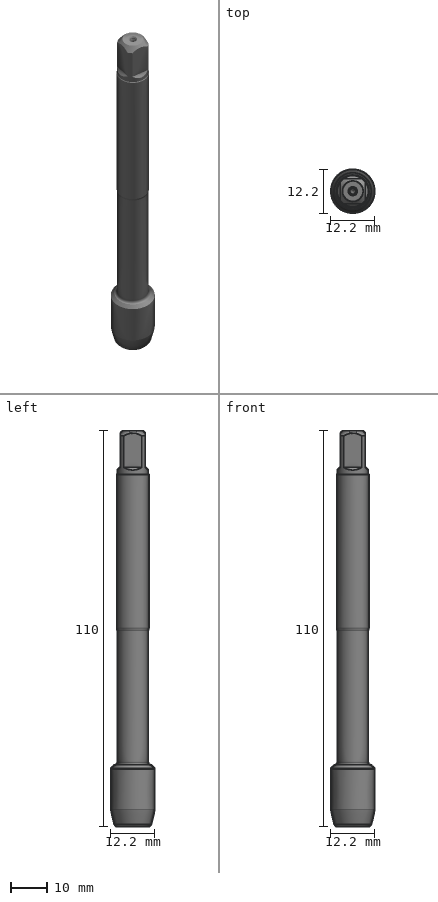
import cadquery as cq
import math

total_length = 110.0

head_radius = 12.2 / 2
head_height = 16.0
lead_height = 4.8
lead_end_radius = 5.2
lead_bulge = 0.08
tip_chamfer_height = 0.7
tip_radius = 4.6

shoulder_land = 0.3
shoulder_chamfer_width = 1.0
shoulder_chamfer_height = 0.9

neck_radius = 8.7 / 2
shank_radius = 9.0 / 2
step_bottom = 54.6
step_height = 0.7
shank_top = 97.8
shank_top_bevel = shank_radius - neck_radius

square_half_width = 7.0 / 2
square_base = 99.9
end_face_radius = 2.9
end_bevel = neck_radius - end_face_radius
hole_radius = 1.6 / 2
hole_depth = 0.5
countersink_radius = 1.2
drill_point_angle = 118.0


def make_head():
    """Cylindrical head with a slightly bowed lead and a chamfered tip."""
    bow_radius = (head_radius + lead_end_radius) / 2 + lead_bulge
    bow_height = (lead_height + tip_chamfer_height) / 2
    return (
        cq.Workplane("XZ")
        .lineTo(tip_radius, 0)
        .lineTo(lead_end_radius, tip_chamfer_height)
        .threePointArc((bow_radius, bow_height), (head_radius, lead_height))
        .lineTo(head_radius, head_height)
        .lineTo(0, head_height)
        .close()
        .revolve(360, (0, 0, 0), (0, 1, 0))
    )


def make_turned_shank():
    """Shank of revolution, from the shoulder to the bevelled upper end."""
    land_top = head_height + shoulder_land
    chamfer_top = land_top + shoulder_chamfer_height
    chamfer_radius = head_radius - shoulder_chamfer_width
    fillet = chamfer_radius - neck_radius
    fillet_top = chamfer_top + fillet
    diagonal = 1 - math.sqrt(0.5)
    fillet_middle = (
        neck_radius + diagonal * fillet,
        chamfer_top + diagonal * fillet,
    )
    return (
        cq.Workplane("XZ")
        .moveTo(0, head_height)
        .lineTo(head_radius, head_height)
        .lineTo(head_radius, land_top)
        .lineTo(chamfer_radius, chamfer_top)
        .threePointArc(fillet_middle, (neck_radius, fillet_top))
        .lineTo(neck_radius, step_bottom)
        .lineTo(shank_radius, step_bottom + step_height)
        .lineTo(shank_radius, shank_top)
        .lineTo(neck_radius, shank_top + shank_top_bevel)
        .lineTo(neck_radius, total_length - end_bevel)
        .lineTo(end_face_radius, total_length)
        .lineTo(0, total_length)
        .close()
        .revolve(360, (0, 0, 0), (0, 1, 0))
    )


def make_flat_cutter():
    """Tool for one flat of the square, with a 45 degree run-out at its foot."""
    reach = 2 * shank_radius
    runout = reach - square_half_width
    return (
        cq.Workplane("XZ")
        .moveTo(square_half_width, square_base)
        .lineTo(reach, square_base - runout)
        .lineTo(reach, total_length)
        .lineTo(square_half_width, total_length)
        .close()
        .extrude(reach, both=True)
    )


def make_centre_hole():
    """Countersunk centre hole with a drill point."""
    countersink_depth = countersink_radius - hole_radius
    point_depth = hole_radius / math.tan(math.radians(drill_point_angle / 2))
    hole_bottom = total_length - hole_depth
    return (
        cq.Workplane("XZ")
        .moveTo(0, total_length)
        .lineTo(countersink_radius, total_length)
        .lineTo(hole_radius, total_length - countersink_depth)
        .lineTo(hole_radius, hole_bottom)
        .lineTo(0, hole_bottom - point_depth)
        .close()
        .revolve(360, (0, 0, 0), (0, 1, 0))
    )


def make_shank():
    """Turned shank with four flats and a centre hole at the drive end."""
    shank = make_turned_shank()
    flat_cutter = make_flat_cutter()
    for angle in (0, 90, 180, 270):
        shank = shank.cut(flat_cutter.rotate((0, 0, 0), (0, 0, 1), angle))
    return shank.cut(make_centre_hole())


head = make_head()
shank = make_shank()
result = cq.Compound.makeCompound([head.val(), *shank.solids().vals()])